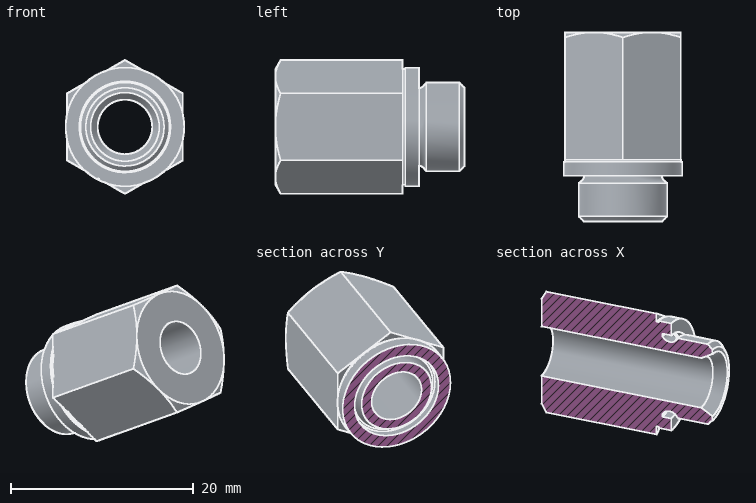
import cadquery as cq
import math

total_length = 20.7
thread_end = 4.18
ring_front = 4.99
ring_back = 6.52
hex_start = 6.77

across_flats = 12.69
washer_face_diameter = 12.7
ring_diameter = 13.0
ring_bore_diameter = 10.0
thread_diameter = 9.73
neck_diameter = 8.45
bore_diameter = 5.95
countersink_diameter = 7.51

tip_chamfer = 0.58
thread_end_chamfer = 0.12
undercut_radius = 1.0
countersink_half_angle = math.radians(30)
hex_chamfer_angle = math.radians(30)


def revolve_about_y(profile):
    """Close a half profile drawn as (radius, axial position) and spin it."""
    return profile.close().revolve(360, (0, 0, 0), (0, 1, 0))


def make_hex_body():
    corner_radius = across_flats / math.sqrt(3)
    flat_radius = across_flats / 2
    chamfer_height = (corner_radius - flat_radius) * math.tan(hex_chamfer_angle)
    corners = [
        (corner_radius * math.sin(i * math.pi / 3), corner_radius * math.cos(i * math.pi / 3))
        for i in range(6)
    ]
    prism = (
        cq.Workplane("XZ", origin=(0, hex_start, 0))
        .polyline(corners)
        .close()
        .extrude(hex_start - total_length)
    )
    envelope = revolve_about_y(
        cq.Workplane("XY")
        .moveTo(0, hex_start)
        .lineTo(corner_radius, hex_start)
        .lineTo(corner_radius, total_length - chamfer_height)
        .lineTo(flat_radius, total_length)
        .lineTo(0, total_length)
    )
    return prism.intersect(envelope)


def make_spigot():
    """Washer face, neck with curved undercut, and chamfered thread cylinder."""
    thread_radius = thread_diameter / 2
    neck_radius = neck_diameter / 2
    arc_start_radius = thread_radius - thread_end_chamfer
    arc_start = thread_end + thread_end_chamfer

    arc_half_width = math.sqrt(
        undercut_radius**2 - (undercut_radius - arc_start_radius + neck_radius) ** 2
    )
    arc_middle = arc_start + arc_half_width
    arc_end = arc_middle + arc_half_width
    return revolve_about_y(
        cq.Workplane("XY")
        .lineTo(thread_radius - tip_chamfer, 0)
        .lineTo(thread_radius, tip_chamfer)
        .lineTo(thread_radius, thread_end)
        .lineTo(arc_start_radius, arc_start)
        .threePointArc((neck_radius, arc_middle), (arc_start_radius, arc_end))
        .lineTo(ring_bore_diameter / 2, arc_end)
        .lineTo(ring_bore_diameter / 2, ring_back)
        .lineTo(washer_face_diameter / 2, ring_back)
        .lineTo(washer_face_diameter / 2, hex_start)
        .lineTo(0, hex_start)
    )


def make_ring():
    """Collar ring standing clear of the neck, open toward the tip."""
    return (
        cq.Workplane("XZ", origin=(0, ring_back, 0))
        .circle(ring_diameter / 2)
        .circle(ring_bore_diameter / 2)
        .extrude(ring_back - ring_front)
    )


def make_bore():
    """Through bore with a conical countersink at the tip."""
    bore_radius = bore_diameter / 2
    countersink_radius = countersink_diameter / 2
    countersink_depth = (countersink_radius - bore_radius) / math.tan(countersink_half_angle)
    return revolve_about_y(
        cq.Workplane("XY")
        .lineTo(countersink_radius, 0)
        .lineTo(bore_radius, countersink_depth)
        .lineTo(bore_radius, total_length)
        .lineTo(0, total_length)
    )


result = make_hex_body().union(make_spigot()).union(make_ring()).cut(make_bore())